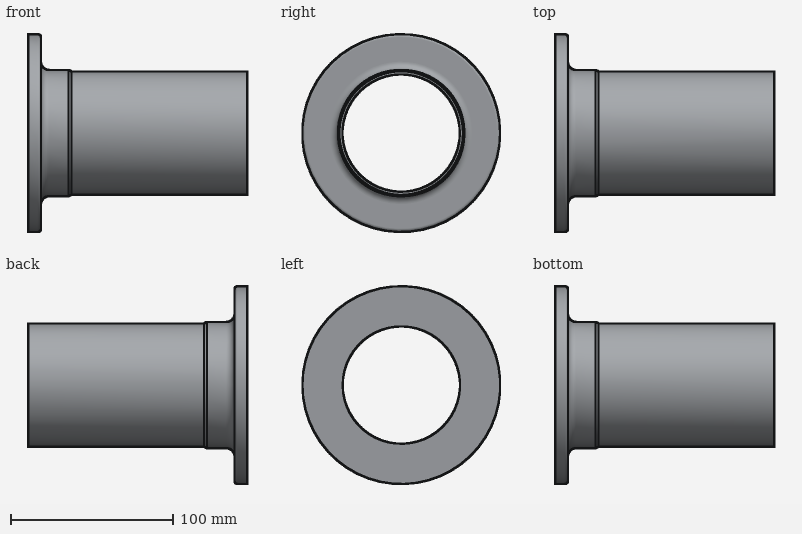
import cadquery as cq

total_length = 135.0
bore_radius = 72.1 / 2
pipe_radius = 76.1 / 2

flange_radius = 122.0 / 2
flange_thickness = 8.0
rim_fillet = 2.0

collar_radius = 78.0 / 2
collar_end = 26.7
collar_chamfer_length = 1.8
neck_fillet = 4.9

pipe_start = collar_end
chamfer_start = collar_end - collar_chamfer_length
neck_end = flange_thickness + neck_fillet


def quarter_point(radius):
    """Offset of an arc's midpoint from its centre along each axis."""
    return radius * 0.5 ** 0.5


rim_mid = (
    flange_thickness - rim_fillet + quarter_point(rim_fillet),
    flange_radius - rim_fillet + quarter_point(rim_fillet),
)
neck_mid = (
    neck_end - quarter_point(neck_fillet),
    collar_radius + neck_fillet - quarter_point(neck_fillet),
)
section = (
    cq.Workplane("XY")
    .moveTo(0, bore_radius)
    .lineTo(0, flange_radius)
    .lineTo(flange_thickness - rim_fillet, flange_radius)
    .threePointArc(rim_mid, (flange_thickness, flange_radius - rim_fillet))
    .lineTo(flange_thickness, collar_radius + neck_fillet)
    .threePointArc(neck_mid, (neck_end, collar_radius))
    .lineTo(chamfer_start, collar_radius)
    .lineTo(pipe_start, pipe_radius)
    .lineTo(total_length, pipe_radius)
    .lineTo(total_length, bore_radius)
    .close()
)

result = section.revolve(360, (0, 0, 0), (1, 0, 0))